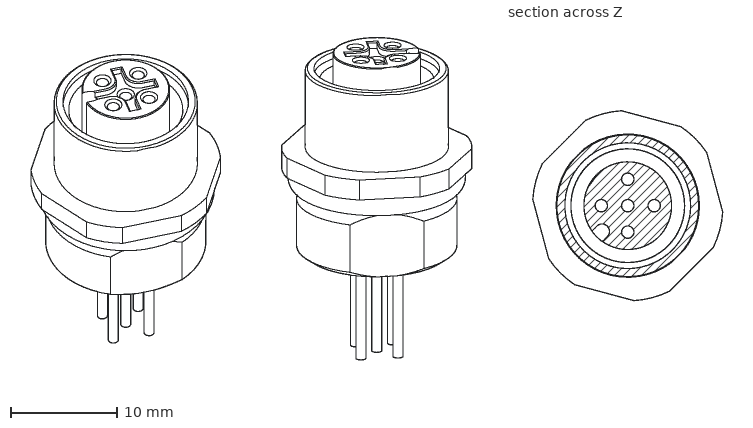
import cadquery as cq
import math

body_bottom_z = 10.0
body_chamfer_z = 10.6
body_shoulder_z = 15.4
seal_bottom_z = 16.47
flange_bottom_z = 18.55
flange_top_z = 20.55
shell_top_z = 28.5
insert_top_z = 30.05

body_radius = 7.57
body_foot_radius = 6.75
neck_radius = 6.5
shell_radius = 6.75
shell_chamfer = 0.2
flat_distance = 6.7
flat_angle = -45.0

mouth_radius = 5.92
mouth_depth = 0.65
bore_radius = 5.38
cone_depth = 0.42
bore_floor_z = flange_top_z

flange_radius = 8.98
flange_across_flats = 17.0
flange_angle = 15.0

outer_seal_tube_radius = (flange_bottom_z - seal_bottom_z) / 2
outer_seal_radius = 8.38
inner_seal_centre_radius = 4.65
inner_seal_tube_radius = 0.7

insert_radius = 4.15
insert_chamfer = 0.1
side_flat_distance = 4.05
side_flat_angle = 143.5
side_flat_height = 2.5

contact_offset = 2.5
pin_radius = 0.48
pin_embed = 0.3
socket_radius = 0.57
socket_depth = 1.8
countersink_radius = 0.8

recess_depth = 0.7
recess_chamfer = 0.12
arm_width = 0.9
arm_reach = 2.95

keyway_angle = 225.0
keyway_radius = 0.7
keyway_centre = 3.43
keyway_floor_z = bore_floor_z + 2 * inner_seal_tube_radius

outer_contacts = [
    (contact_offset, 0),
    (0, contact_offset),
    (-contact_offset, 0),
    (0, -contact_offset),
]
centre_contact = (0, 0)


def cylinder(radius, bottom_z, top_z):
    return cq.Workplane("XY").workplane(offset=bottom_z).circle(radius).extrude(top_z - bottom_z)


def ring(centre_radius, tube_radius, centre_z):
    tube = cq.Workplane("XZ").center(centre_radius, centre_z).circle(tube_radius)
    return tube.revolve(360, (-centre_radius, 0), (-centre_radius, 1))


def turned_body():
    """Lower body, neck and shell in one turned profile, with two flats along its length."""
    profile = [
        (0, body_bottom_z),
        (body_foot_radius, body_bottom_z),
        (body_radius, body_chamfer_z),
        (body_radius, body_shoulder_z),
        (neck_radius, seal_bottom_z),
        (neck_radius, flange_top_z),
        (shell_radius, flange_top_z),
        (shell_radius, shell_top_z - shell_chamfer),
        (shell_radius - shell_chamfer, shell_top_z),
        (mouth_radius, shell_top_z),
        (mouth_radius, shell_top_z - mouth_depth),
        (bore_radius, shell_top_z - mouth_depth - cone_depth),
        (bore_radius, bore_floor_z),
        (0, bore_floor_z),
    ]
    body = cq.Workplane("XZ").polyline(profile).close().revolve(360, (0, 0), (0, 1))
    between_flats = (
        cq.Workplane("XY")
        .rect(2 * flat_distance, 3 * body_radius)
        .extrude(shell_top_z)
        .rotate((0, 0, 0), (0, 0, 1), flat_angle)
    )
    return body.intersect(between_flats)


def flange():
    thickness = flange_top_z - flange_bottom_z
    hexagon = (
        cq.Workplane("XY")
        .workplane(offset=flange_bottom_z)
        .polygon(6, flange_across_flats, circumscribed=True)
        .extrude(thickness)
        .rotate((0, 0, 0), (0, 0, 1), flange_angle)
    )
    return hexagon.intersect(cylinder(flange_radius, flange_bottom_z, flange_top_z))


def insert_blank():
    blank = cylinder(insert_radius, body_shoulder_z, insert_top_z).faces(">Z").chamfer(insert_chamfer)
    side_flat = (
        cq.Workplane("XY")
        .workplane(offset=insert_top_z)
        .center(side_flat_distance + insert_radius / 2, 0)
        .rect(insert_radius, insert_radius)
        .extrude(-side_flat_height)
        .rotate((0, 0, 0), (0, 0, 1), side_flat_angle)
    )
    return blank.cut(side_flat)


def cross_outline(clearance, bottom_z, top_z):
    """Diagonal cross whose inner corners are rounded about the four outer contacts."""
    half_width = arm_width / 2 + clearance
    length = 2 * (arm_reach + clearance)
    height = top_z - bottom_z
    plane = cq.Workplane("XY").workplane(offset=bottom_z)
    cross = plane.polyline(outer_contacts).close().extrude(height)
    land_radius = contact_offset / math.sqrt(2) - half_width
    cross = cross.cut(plane.pushPoints(outer_contacts).circle(land_radius).extrude(height))
    for angle in (45, 135):
        arm = plane.rect(length, 2 * half_width).extrude(height)
        cross = cross.union(arm.rotate((0, 0, 0), (0, 0, 1), angle))
    return cross


def cross_recess():
    """Straight-walled recess with a 45 degree chamfer around its mouth."""
    pocket = cross_outline(0, insert_top_z - recess_depth, insert_top_z)
    mouth = cross_outline(recess_chamfer, insert_top_z - recess_chamfer, insert_top_z + recess_chamfer)
    return pocket.union(mouth.faces("<Z").chamfer(recess_chamfer))


def keyway():
    height = insert_top_z - keyway_floor_z
    plane = cq.Workplane("XY").workplane(offset=keyway_floor_z)
    round_end = plane.center(keyway_centre, 0).circle(keyway_radius).extrude(height)
    opening = plane.center(keyway_centre + keyway_radius, 0)
    opening = opening.rect(2 * keyway_radius, 2 * keyway_radius).extrude(height)
    return round_end.union(opening).rotate((0, 0, 0), (0, 0, 1), keyway_angle)


def socket(point, mouth_z):
    """Blind contact hole with a 45 degree countersink."""
    countersink_depth = countersink_radius - socket_radius
    profile = [
        (0, mouth_z - socket_depth),
        (socket_radius, mouth_z - socket_depth),
        (socket_radius, mouth_z - countersink_depth),
        (countersink_radius, mouth_z),
        (0, mouth_z),
    ]
    hole = cq.Workplane("XZ").polyline(profile).close().revolve(360, (0, 0), (0, 1))
    return hole.translate((point[0], point[1], 0))


insert = insert_blank().cut(keyway()).cut(cross_recess())
for contact in outer_contacts:
    insert = insert.cut(socket(contact, insert_top_z))
insert = insert.cut(socket(centre_contact, insert_top_z - recess_depth))

outer_seal_centre_radius = outer_seal_radius - outer_seal_tube_radius
outer_seal_z = seal_bottom_z + outer_seal_tube_radius
inner_seal_z = bore_floor_z + inner_seal_tube_radius

result = turned_body().union(flange()).union(insert)
result = result.union(ring(outer_seal_centre_radius, outer_seal_tube_radius, outer_seal_z))
result = result.union(ring(inner_seal_centre_radius, inner_seal_tube_radius, inner_seal_z))
for x, y in [centre_contact] + outer_contacts:
    result = result.union(cylinder(pin_radius, 0, body_bottom_z + pin_embed).translate((x, y, 0)))